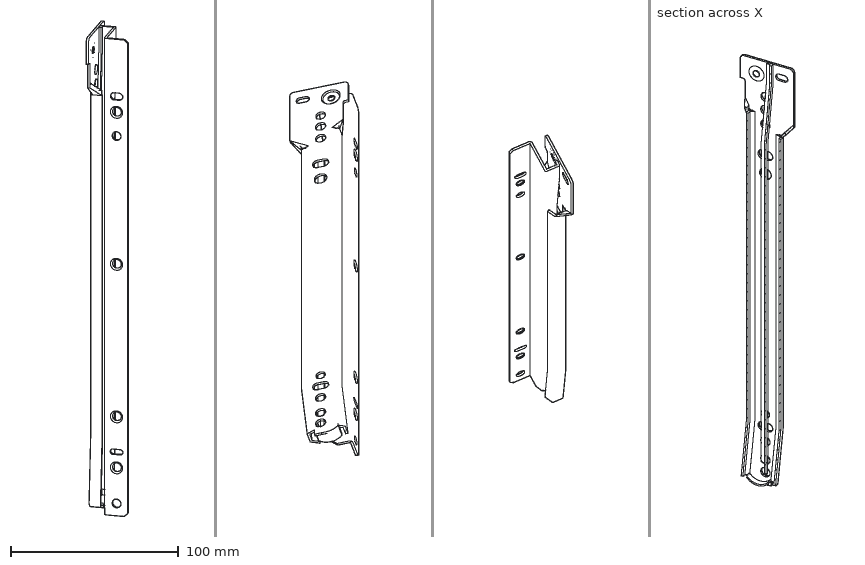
import cadquery as cq
import math

LENGTH = 300.0
SHEET = 1.5
KICK = 3.5

HEAD_HEIGHT = 36.3
HEAD_TOP = 299.0
HEAD_CORNER = 2.7
HEAD_BOTTOM = 258.0
CHANNEL_TOP = 250.2
LOWER_FLANGE_TOP = 262.0
STEP_Y = 3.3
STEP_TOP = 283.0
STEP_RADIUS = 1.5
STEP_BOTTOM = 267.0
WEB_LOW = 10.0
WEB_HIGH = 24.5
CHANNEL_LOW = 6.0
CHANNEL_HIGH = 29.7
FLANGE_LOW = CHANNEL_LOW + SHEET / 2
FLANGE_HIGH = CHANNEL_HIGH - SHEET / 2
BEVEL_X = 2.5
LOWER_FLANGE_X = 8.0
UPPER_FLANGE_X = 8.5
LIP_TIP = (10.8, 24.0)
CABINET_RAMP_TOP = 44.5
CABINET_RAMP_BOTTOM = 4.0
STOP_WIDTH = 8.7
STOP_BOTTOM = 0.3

WALL_HOLE_Y = 17.0
WALL_HOLES = [(274.2, 6.0), (265.0, 6.3), (254.7, 6.3), (220.0, 7.8),
              (50.0, 5.7), (31.0, 6.3), (18.0, 6.3), (9.0, 6.3)]
WALL_SLOTS = [(233.0, 10.0, 6.3), (41.0, 10.0, 5.7)]
HEAD_SLOT_Y, HEAD_SLOT_Z = 28.2, 291.0
HEAD_SLOT_LENGTH, HEAD_SLOT_WIDTH = 8.0, 4.5
DIMPLE_Y, DIMPLE_Z = 10.8, 288.5
DIMPLE_DIAMETER, DIMPLE_FLOOR, DIMPLE_DEPTH = 11.7, 10.2, 1.0
DIMPLE_HOLE = 4.2

RAIL_WIDTH = 25.5
FLANGE_BOTTOM = 0.5
LEG_X = 10.8
LEG_TOP = 19.0
LEG_CHAMFER = 9.0
BEND_RADIUS = 1.8
FLANGE_CHAMFER = 2.0
TRACK_Y = 19.0
TRACK_LIP_X = 3.3
TRACK_LIP_Y = 15.5
TRACK_LIP_BOTTOM = 17.5
TRACK_BOTTOM = 10.0
DRAWER_RAMP_BOTTOM = 242.5
DRAWER_RAMP_TOP = 286.0

FLANGE_HOLE_X = 18.5
SCREW_HOLES = [254.0, 158.5, 62.5, 30.3]
SCREW_HOLE, SCREW_HEAD, SINK_DEPTH = 5.5, 7.5, 1.0
PLAIN_HOLES = [239.0, 7.8]
PLAIN_HOLE = 5.5
FLANGE_SLOTS = [(264.0, 7.5, 4.5), (40.2, 7.8, 3.3)]


def sheet_section(path):
    """Cross-section of bent sheet: a strip along each leg of the mid-line, rounded outside each bend."""
    section = cq.Sketch()
    for (x1, y1), (x2, y2) in zip(path, path[1:]):
        angle = math.degrees(math.atan2(y2 - y1, x2 - x1))
        middle = ((x1 + x2) / 2, (y1 + y2) / 2)
        section = section.push([middle]).rect(math.dist((x1, y1), (x2, y2)), SHEET, angle).reset()
    return section.push(path[1:-1]).circle(SHEET / 2).reset().clean()


def sheet_run(path, start, end, shift_start=0.0, shift_end=0.0):
    """Sheet bent along a mid-line in XY, run from Z start to end while Y shifts evenly."""
    face = sheet_section(path).faces().vals()[0].translate(cq.Vector(0, shift_start, start))
    run = cq.Vector(0, shift_end - shift_start, end - start)
    return cq.Workplane(cq.Solid.extrudeLinear(face, run))


def tetrahedron(corners):
    """Solid with four given corners."""
    points = [cq.Vector(*corner) for corner in corners]
    faces = []
    for skipped in points:
        triangle = [point for point in points if point is not skipped]
        faces.append(cq.Face.makeFromWires(cq.Wire.makePolygon(triangle, close=True)))
    return cq.Workplane(cq.Solid.makeSolid(cq.Shell.makeShell(faces)))


def wall_sketch():
    """Plane of the cabinet rail's web: local x is Y, local y is Z, normal is +X."""
    return cq.Workplane("YZ")


def flange_sketch():
    """Plane of the drawer rail's flange underside: local x is X, local y is Z, normal is -Y."""
    return cq.Workplane("XZ", origin=(0, FLANGE_BOTTOM, 0))


def mounting_head():
    plate = (
        wall_sketch()
        .polyline([
            (HEAD_HEIGHT, HEAD_TOP), (HEAD_HEIGHT, HEAD_BOTTOM), (CHANNEL_HIGH, CHANNEL_TOP),
            (WEB_LOW, CHANNEL_TOP), (WEB_LOW, LOWER_FLANGE_TOP), (CHANNEL_LOW, LOWER_FLANGE_TOP),
            (STEP_Y, STEP_BOTTOM), (STEP_Y, STEP_TOP), (0, STEP_TOP), (0, HEAD_TOP),
        ])
        .close()
        .extrude(SHEET)
    )
    step_corner = cq.selectors.NearestToPointSelector((SHEET / 2, STEP_Y, STEP_TOP))
    return plate.edges("|X and >Z").fillet(HEAD_CORNER).edges("|X").edges(step_corner).fillet(STEP_RADIUS)


def head_gusset(head_corner, channel_corner, web_bend, width):
    """Flange along a slanted edge of the head: it widens from the head to the channel, and a
    bevel of its outer edge widens with it. Places are (Y, Z)."""
    run_y = channel_corner[0] - head_corner[0]
    run_z = channel_corner[1] - head_corner[1]
    height = SHEET * math.hypot(run_y, run_z) / abs(run_y)
    strip = (
        wall_sketch()
        .polyline([
            head_corner, channel_corner,
            (channel_corner[0], channel_corner[1] + height), (head_corner[0], head_corner[1] + height),
        ])
        .close()
        .extrude(width)
    )
    taper = (
        cq.Workplane("XY", origin=(0, 0, channel_corner[1]))
        .polyline([
            (0, head_corner[0]), (SHEET, head_corner[0]),
            (width, channel_corner[0]), (0, channel_corner[0]),
        ])
        .close()
        .extrude(height - run_z)
    )
    bevel = tetrahedron([
        (0, *head_corner), (0, *web_bend), (0, *channel_corner), (BEVEL_X, *channel_corner),
    ])
    return strip.intersect(taper), bevel


def head_with_gussets():
    upper, upper_bevel = head_gusset(
        (HEAD_HEIGHT, HEAD_BOTTOM), (CHANNEL_HIGH, CHANNEL_TOP), (WEB_HIGH, CHANNEL_TOP), UPPER_FLANGE_X
    )
    lower, lower_bevel = head_gusset(
        (STEP_Y, STEP_BOTTOM), (CHANNEL_LOW, LOWER_FLANGE_TOP), (WEB_LOW, LOWER_FLANGE_TOP), LOWER_FLANGE_X
    )
    return mounting_head().union(upper).union(lower).cut(upper_bevel).cut(lower_bevel)


def channel():
    """Lipped channel with a ramp at its lower end."""
    web_x = SHEET / 2
    lower = [(web_x, WEB_HIGH), (web_x, WEB_LOW), (BEVEL_X, FLANGE_LOW), (LOWER_FLANGE_X, FLANGE_LOW)]
    full = [LIP_TIP, (UPPER_FLANGE_X, FLANGE_HIGH), (BEVEL_X, FLANGE_HIGH)] + lower
    return (
        sheet_run(lower, CHANNEL_TOP, LOWER_FLANGE_TOP)
        .union(sheet_run(full, CABINET_RAMP_TOP, CHANNEL_TOP))
        .union(sheet_run(full, CABINET_RAMP_BOTTOM, CABINET_RAMP_TOP, -KICK, 0))
    )


def end_stop():
    """Curved tab that closes the lower end of the channel, with the web that joins it."""
    left = WEB_HIGH - KICK
    right = WEB_LOW - KICK
    middle = (left + right) / 2
    z = CABINET_RAMP_BOTTOM
    web = (
        wall_sketch()
        .moveTo(left, z)
        .lineTo(left, STOP_BOTTOM)
        .lineTo(middle, STOP_BOTTOM)
        .lineTo(middle, z)
        .close()
        .extrude(SHEET)
    )
    arch = (
        wall_sketch()
        .moveTo(left, z)
        .threePointArc((middle, STOP_BOTTOM), (right, z))
        .close()
        .extrude(SHEET)
    )
    tab = (
        wall_sketch()
        .moveTo(left, z)
        .threePointArc((middle, STOP_BOTTOM), (right, z))
        .lineTo(right, z + SHEET)
        .threePointArc((middle, STOP_BOTTOM + SHEET), (left, z + SHEET))
        .close()
        .extrude(STOP_WIDTH)
    )
    return web.union(arch).union(tab)


def wall_holes():
    depth = 2 * SHEET
    plane = wall_sketch().workplane(offset=-SHEET / 2)
    head_slot = plane.center(HEAD_SLOT_Y, HEAD_SLOT_Z).slot2D(HEAD_SLOT_LENGTH, HEAD_SLOT_WIDTH)
    cuts = head_slot.extrude(depth)
    for z, diameter in WALL_HOLES:
        cuts = cuts.add(plane.center(WALL_HOLE_Y, z).circle(diameter / 2).extrude(depth))
    for z, length, width in WALL_SLOTS:
        cuts = cuts.add(plane.center(WALL_HOLE_Y, z).slot2D(length, width).extrude(depth))
    return cuts.combine()


def dimple():
    """Conical recess in the head with a small hole through its floor."""
    centre = wall_sketch().center(DIMPLE_Y, DIMPLE_Z)
    recess = (
        centre.circle(DIMPLE_DIAMETER / 2)
        .workplane(offset=DIMPLE_DEPTH)
        .circle(DIMPLE_FLOOR / 2)
        .loft()
    )
    hole = wall_sketch().center(DIMPLE_Y, DIMPLE_Z).circle(DIMPLE_HOLE / 2).extrude(SHEET)
    return recess.union(hole)


def make_cabinet_rail():
    rail = head_with_gussets().union(channel()).union(end_stop())
    return rail.cut(wall_holes()).cut(dimple())


def angle():
    """Upright leg and outward flange, joined by a rounded bend."""
    inner_x = LEG_X + SHEET
    flange_top = FLANGE_BOTTOM + SHEET
    body = (
        cq.Workplane("XY")
        .polyline([
            (LEG_X, LEG_TOP), (LEG_X, FLANGE_BOTTOM), (RAIL_WIDTH, FLANGE_BOTTOM),
            (RAIL_WIDTH, flange_top), (inner_x, flange_top), (inner_x, LEG_TOP),
        ])
        .close()
        .extrude(LENGTH)
    )
    bend = cq.selectors.NearestToPointSelector((LEG_X, FLANGE_BOTTOM, LENGTH / 2))
    body = body.edges("|Z").edges(bend).fillet(BEND_RADIUS).edges("|Y and >X").chamfer(FLANGE_CHAMFER)
    return body.edges("|X and >Y and <Z").chamfer(LEG_CHAMFER)


def track():
    """Hooked runner on top of the leg, with a ramp at its upper end."""
    leg_middle = LEG_X + SHEET / 2
    path = [
        (TRACK_LIP_X, TRACK_LIP_Y), (TRACK_LIP_X, TRACK_Y),
        (leg_middle, TRACK_Y), (leg_middle, LEG_TOP - KICK - SHEET),
    ]
    return (
        sheet_run(path[1:], TRACK_BOTTOM, TRACK_LIP_BOTTOM)
        .union(sheet_run(path, TRACK_LIP_BOTTOM, DRAWER_RAMP_BOTTOM))
        .union(sheet_run(path, DRAWER_RAMP_BOTTOM, DRAWER_RAMP_TOP, 0, KICK))
        .union(sheet_run(path, DRAWER_RAMP_TOP, LENGTH, KICK, KICK))
    )


def flange_holes():
    plane = flange_sketch()
    cuts = cq.Workplane("XZ")
    for z in PLAIN_HOLES:
        cuts = cuts.add(plane.center(FLANGE_HOLE_X, z).circle(PLAIN_HOLE / 2).extrude(-SHEET))
    for z, length, width in FLANGE_SLOTS:
        cuts = cuts.add(plane.center(FLANGE_HOLE_X, z).slot2D(length, width).extrude(-SHEET))
    for z in SCREW_HOLES:
        cuts = cuts.add(plane.center(FLANGE_HOLE_X, z).circle(SCREW_HOLE / 2).extrude(-SHEET))
        sink = (
            plane.center(FLANGE_HOLE_X, z)
            .circle(SCREW_HEAD / 2)
            .workplane(offset=-SINK_DEPTH)
            .circle(SCREW_HOLE / 2)
            .loft()
        )
        cuts = cuts.add(sink)
    return cuts.combine()


def make_drawer_rail():
    return angle().union(track()).cut(flange_holes())


cabinet_rail = make_cabinet_rail()
drawer_rail = make_drawer_rail()

result = cq.Compound.makeCompound([cabinet_rail.solids().val(), drawer_rail.solids().val()])